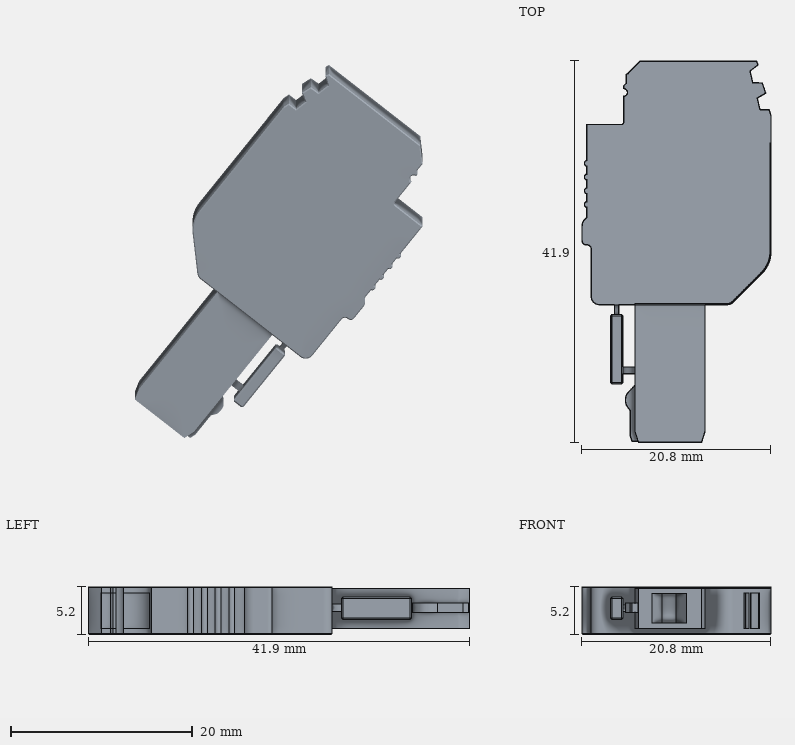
import cadquery as cq

LENGTH = 41.9
WIDTH = 20.8
HEIGHT = 5.2
HOUSING_FRONT = 15.13
WALL = 0.63
EDGE_CHAMFER = 0.13
EMBED = 0.4

FRONT_LEFT = 1.0
GRIP_LEFT = 0.5
STOP_FRONT = 21.7
STOP_BACK = 24.2
STOP_RADIUS = 0.45
STOP_BACK_RADIUS = 1.05
LEDGE_Y = 34.95
NECK_LEFT = 4.55
NECK_CORNER_RADIUS = 0.25
LATCH_Y = 38.45
LATCH_RADIUS = 0.4
SETBACK = 0.3
SETBACK_FRONT = 39.18
NECK_BACK = 40.45
CHAMFER_LIP = 0.13
BACK_CHAMFER = 1.4

RIDGE_COUNT = 4
RIDGE_FIRST_Y = 26.15
RIDGE_PITCH = 1.5
RIDGE_HEIGHT = 0.25
RIDGE_RADIUS = 0.35

SHOULDER_Y = 36.58
DIAGONAL_START_X = 16.35
DIAGONAL_END_Y = HOUSING_FRONT + WIDTH - DIAGONAL_START_X
FRONT_CORNER_RADIUS = 0.92
DIAGONAL_FRONT_RADIUS = 1.0
DIAGONAL_SIDE_RADIUS = 3.45
BEVEL_BACK = 32.95

PLUG_LEFT = 5.82
PLUG_RIGHT = 13.55
PLUG_BOTTOM = WALL
PLUG_TOP = 5.05
TIP_TAPER_LENGTH = 1.2
TIP_TAPER = 0.38

SOCKET_LEFT = 7.65
SOCKET_RIGHT = 11.5
SOCKET_BOTTOM = 1.25
SOCKET_TOP = 4.5
SOCKET_DEPTH = 2.3
SOCKET_TAPER = 1.15

RIB_BOTTOM = 2.45
RIB_TOP = 3.45
RIB_LEFT = 5.3
RIB_FRONT = 0.13
RIB_NOSE_WIDTH = 0.2
RIB_NOSE_LENGTH = 0.63
BUMP_LEFT = 4.78
BUMP_FRONT = 3.5
BUMP_BACK = 6.3
BUMP_FLAT = (4.2, 5.2)
BUMP_RADIUS = 1.05

BAR_LEFT = 3.15
BAR_RIGHT = 4.5
BAR_FRONT = 6.4
BAR_BACK = 14.08
BAR_BOTTOM = 1.65
BAR_TOP = 4.1
BAR_CHAMFER = 0.15
PIN_WIDTH = 0.5
PIN_BOTTOM = 2.5
PIN_TOP = 3.35
STEM_FRONT = 7.55
STEM_BACK = 8.3
STEM_TOP = 3.23

NECK_RECESS_DEPTH = 0.13


def block(x0, x1, y0, y1, z0, z1):
    return cq.Workplane("XY").box(x1 - x0, y1 - y0, z1 - z0, centered=False).translate((x0, y0, z0))


def prism(points, z0, z1):
    return cq.Workplane("XY").workplane(offset=z0).polyline(points).close().extrude(z1 - z0)


def round_corner(body, x, y, radius):
    """Round the vertical edge that stands at (x, y)."""
    nearest = cq.selectors.NearestToPointSelector((x, y, HEIGHT / 2))
    return body.edges("|Z").edges(nearest).fillet(radius)


def round_right_corners(body):
    """Round both ends of the diagonal at the right front."""
    body = round_corner(body, DIAGONAL_START_X, HOUSING_FRONT, DIAGONAL_FRONT_RADIUS)
    return round_corner(body, WIDTH, DIAGONAL_END_Y, DIAGONAL_SIDE_RADIUS)


def post(x, y, radius):
    """Upright cylinder as high as the housing."""
    return cq.Workplane("XY").center(x, y).circle(radius).extrude(HEIGHT)


def neck_profile(shift):
    """Left face of the neck, from its front corner to the start of the rear chamfer."""
    left = NECK_LEFT + shift
    stepped = left + SETBACK
    return [
        (left, LEDGE_Y),
        (left, SETBACK_FRONT),
        (stepped, SETBACK_FRONT + SETBACK),
        (stepped, NECK_BACK),
        (stepped + CHAMFER_LIP, LENGTH - BACK_CHAMFER),
    ]


def make_housing():
    left_side = [
        (FRONT_LEFT, HOUSING_FRONT),
        (FRONT_LEFT, STOP_FRONT),
        (0, STOP_FRONT),
        (0, STOP_BACK),
        (GRIP_LEFT, STOP_BACK + GRIP_LEFT),
        (GRIP_LEFT, LEDGE_Y),
        *neck_profile(0),
        (NECK_LEFT + SETBACK + CHAMFER_LIP + BACK_CHAMFER, LENGTH),
    ]
    right_side = [
        (19.2, LENGTH),
        (19.35, 41.5),
        (18.48, 40.8),
        (18.77, 39.55),
        (19.8, 39.5),
        (20.2, 38.4),
        (19.27, 37.85),
        (19.55, SHOULDER_Y),
        (20.57, SHOULDER_Y),
        (WIDTH, 35.9),
        (WIDTH, DIAGONAL_END_Y),
        (DIAGONAL_START_X, HOUSING_FRONT),
    ]
    body = prism(left_side + right_side, 0, HEIGHT)
    body = round_right_corners(body)
    body = round_corner(body, FRONT_LEFT, HOUSING_FRONT, FRONT_CORNER_RADIUS)
    body = round_corner(body, 0, STOP_FRONT, STOP_RADIUS)
    body = round_corner(body, FRONT_LEFT, STOP_FRONT, STOP_RADIUS)
    body = round_corner(body, 0, STOP_BACK, STOP_BACK_RADIUS)
    body = round_corner(body, NECK_LEFT, LEDGE_Y, NECK_CORNER_RADIUS)
    for index in range(RIDGE_COUNT):
        ridge_y = RIDGE_FIRST_Y + index * RIDGE_PITCH
        body = body.union(post(GRIP_LEFT - RIDGE_HEIGHT + RIDGE_RADIUS, ridge_y, RIDGE_RADIUS))
    body = body.cut(post(NECK_LEFT, LATCH_Y, LATCH_RADIUS))
    return body.faces("<Z").chamfer(EDGE_CHAMFER)


def make_top_bevel():
    """Sliver to cut from the top edge, from the plug round to the right side."""
    outline = [
        (PLUG_LEFT, HOUSING_FRONT),
        (DIAGONAL_START_X, HOUSING_FRONT),
        (WIDTH, DIAGONAL_END_Y),
        (WIDTH, BEVEL_BACK),
        (PLUG_LEFT, BEVEL_BACK),
    ]
    slab = round_right_corners(prism(outline, HEIGHT - WALL, HEIGHT))
    right_edge = cq.selectors.NearestToPointSelector((WIDTH, (DIAGONAL_END_Y + BEVEL_BACK) / 2, HEIGHT))
    return slab.cut(slab.edges(right_edge).chamfer(EDGE_CHAMFER))


def make_side_recesses():
    """Grooves lying between the top and bottom walls: the neck and the diagonal."""
    recessed_face = neck_profile(NECK_RECESS_DEPTH)
    outside = GRIP_LEFT
    neck_outline = [
        (outside, LEDGE_Y + NECK_CORNER_RADIUS),
        (NECK_LEFT + NECK_RECESS_DEPTH, LEDGE_Y + NECK_CORNER_RADIUS),
        *recessed_face[1:],
        (outside, LENGTH - BACK_CHAMFER),
    ]
    neck = prism(neck_outline, WALL, HEIGHT - WALL)
    groove = [
        (17.75, 16.45),
        (17.98, 17.35),
        (18.45, 17.15),
        (18.55, 17.45),
        (19.4, 18.25),
        (19.55, 18.25),
        (19.7, 17.6),
        (18.0, 15.92),
    ]
    return neck.union(prism(groove, WALL, HEIGHT - WALL))


def make_plug():
    outline = [
        (PLUG_LEFT + TIP_TAPER, 0),
        (PLUG_RIGHT - TIP_TAPER, 0),
        (PLUG_RIGHT, TIP_TAPER_LENGTH),
        (PLUG_RIGHT, HOUSING_FRONT + EMBED),
        (PLUG_LEFT, HOUSING_FRONT + EMBED),
        (PLUG_LEFT, TIP_TAPER_LENGTH),
    ]
    socket = [
        (SOCKET_LEFT, 0),
        (SOCKET_RIGHT, 0),
        (SOCKET_RIGHT - SOCKET_TAPER, SOCKET_DEPTH),
        (SOCKET_LEFT + SOCKET_TAPER, SOCKET_DEPTH),
    ]
    return prism(outline, PLUG_BOTTOM, PLUG_TOP).cut(prism(socket, SOCKET_BOTTOM, SOCKET_TOP))


def make_snap_rib():
    root = PLUG_LEFT + TIP_TAPER
    outline = [
        (root, RIB_FRONT),
        (RIB_LEFT + RIB_NOSE_WIDTH, RIB_FRONT),
        (RIB_LEFT, RIB_FRONT + RIB_NOSE_LENGTH),
        (RIB_LEFT, BUMP_FRONT),
        (BUMP_LEFT, BUMP_FLAT[0]),
        (BUMP_LEFT, BUMP_FLAT[1]),
        (PLUG_LEFT, BUMP_BACK),
        (root, BUMP_BACK),
    ]
    rib = prism(outline, RIB_BOTTOM, RIB_TOP)
    return rib.edges("<X and |Z").fillet(BUMP_RADIUS)


def make_coding_bar():
    bar = block(BAR_LEFT, BAR_RIGHT, BAR_FRONT, BAR_BACK, BAR_BOTTOM, BAR_TOP).edges().chamfer(BAR_CHAMFER)
    middle = (BAR_LEFT + BAR_RIGHT) / 2
    half = PIN_WIDTH / 2
    pin = block(middle - half, middle + half, BAR_BACK - EMBED, HOUSING_FRONT + EMBED, PIN_BOTTOM, PIN_TOP)
    stem = block(middle, PLUG_LEFT + EMBED, STEM_FRONT, STEM_BACK, PIN_BOTTOM, STEM_TOP)
    return bar.union(pin).union(stem)


housing = make_housing().cut(make_top_bevel()).cut(make_side_recesses())
result = housing.union(make_plug()).union(make_snap_rib()).union(make_coding_bar())